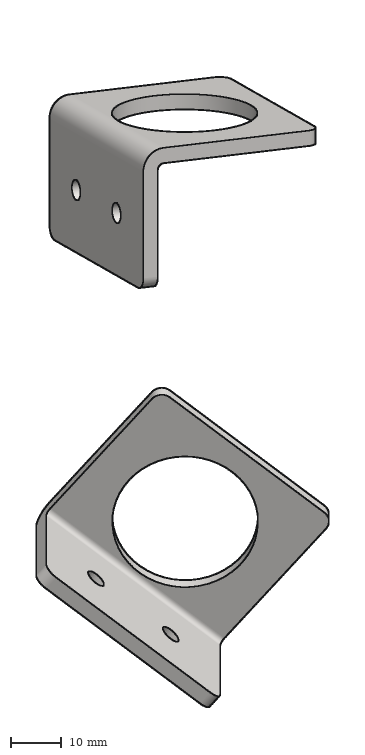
import cadquery as cq

width = 44.45
depth = 38.1
height = 28.6
thickness = 3.15

inner_bend_radius = 1.25
outer_bend_radius = inner_bend_radius + thickness
corner_radius = 2.55

large_hole_diameter = 28.6
large_hole_y = depth / 2
small_hole_diameter = 4.05
small_hole_spacing = 19.05
small_hole_drop = 15.85


def bent_sheet():
    """L-shaped sheet: front face on y = 0, top face on z = 0, centred on x = 0."""
    profile = (
        cq.Workplane("YZ")
        .moveTo(0, -height)
        .lineTo(0, -outer_bend_radius)
        .radiusArc((outer_bend_radius, 0), outer_bend_radius)
        .lineTo(depth, 0)
        .lineTo(depth, -thickness)
        .lineTo(outer_bend_radius, -thickness)
        .radiusArc((thickness, -outer_bend_radius), -inner_bend_radius)
        .lineTo(thickness, -height)
        .close()
    )
    return profile.extrude(width / 2, both=True)


def large_hole():
    """Vertical cutter through the horizontal flange."""
    return (
        cq.Workplane("XY")
        .center(0, large_hole_y)
        .circle(large_hole_diameter / 2)
        .extrude(-thickness)
    )


def small_holes():
    """Pair of cutters through the vertical flange."""
    half_spacing = small_hole_spacing / 2
    return (
        cq.Workplane("XZ")
        .pushPoints([(side * half_spacing, -small_hole_drop) for side in (-1, 1)])
        .circle(small_hole_diameter / 2)
        .extrude(-thickness)
    )


bracket = bent_sheet()
bracket = bracket.faces(">Y").edges("|Z").fillet(corner_radius)
bracket = bracket.faces("<Z").edges("|Y").fillet(corner_radius)
result = bracket.cut(large_hole()).cut(small_holes())